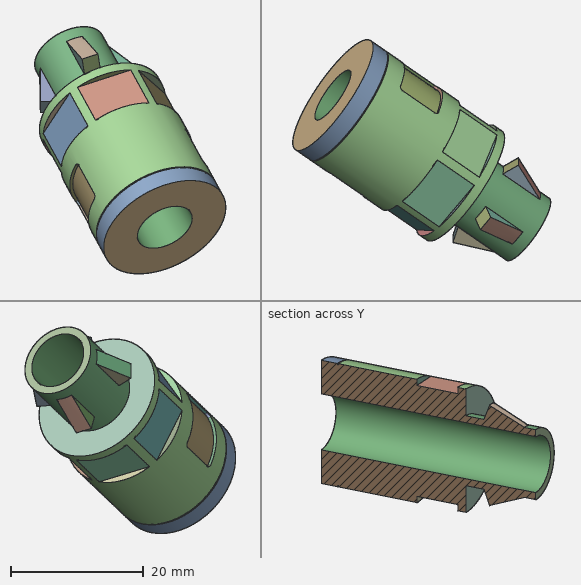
import cadquery as cq
import math

total_length = 37.0
body_diameter = 20.0
body_radius = body_diameter / 2
nose_diameter = 11.4
nose_radius = nose_diameter / 2
nose_length = 12.02
bore_diameter = 9.0

groove_start = 34.08
groove_width = 0.1
groove_depth = 0.2

flat_count = 6
flat_start = 13.5
flat_length = 7.0
flat_distance = 0.9 * body_radius

recess_start = 23.83
recess_length = 7.2
recess_width = 9.6
recess_corner_radius = 0.55
recess_floor_diameter = 19.0

barb_count = 4
barb_width = 2.6
barb_start = 1.95
barb_peak = 8.03
barb_end = 9.0
barb_peak_radius = 8.15
barb_root_radius = 5.0


def cylinder(start, length, diameter):
    """Solid cylinder on the X axis."""
    return cq.Workplane("YZ", origin=(start, 0, 0)).circle(diameter / 2).extrude(length)


def barb_section(x, crest=None):
    """Closed barb outline across X, with a flat crest or, by default, the nose arc on top."""
    half_width = barb_width / 2
    edge_radius = math.sqrt(nose_radius**2 - half_width**2)
    section = cq.Workplane("YZ", origin=(x, 0, 0)).moveTo(-half_width, barb_root_radius)
    section = section.lineTo(half_width, barb_root_radius)
    if crest is None:
        section = section.lineTo(half_width, edge_radius)
        section = section.threePointArc((0, nose_radius), (-half_width, edge_radius))
    else:
        section = section.lineTo(half_width, crest).lineTo(-half_width, crest)
    return section.close().val()


def barb():
    """Barb on the +Z side: a long ramp up to a straight crest, then a steep back."""
    sections = [barb_section(barb_start), barb_section(barb_peak, barb_peak_radius), barb_section(barb_end)]
    return cq.Workplane(cq.Solid.makeLoft(sections, True))


def wrench_flat_cutter():
    """Block that removes the +Z wrench flat."""
    return (
        cq.Workplane("XY", origin=(flat_start, 0, flat_distance))
        .rect(flat_length, body_diameter)
        .extrude(body_radius)
        .translate((flat_length / 2, 0, 0))
    )


def recess_cutters():
    """Rounded block through Y, less the cylinder that forms both recess floors."""
    block = (
        cq.Workplane("XY")
        .box(recess_length, 2 * body_diameter, recess_width)
        .edges("|Y")
        .fillet(recess_corner_radius)
        .translate((recess_start + recess_length / 2, 0, 0))
    )
    return block.cut(cylinder(0, total_length, recess_floor_diameter))


def groove_cutter():
    """Ring that removes the groove."""
    ring = cylinder(groove_start, groove_width, 2 * body_diameter)
    return ring.cut(cylinder(groove_start, groove_width, body_diameter - 2 * groove_depth))


def around_axis(shape, index, count):
    """Turn a shape to one of the equal places around the X axis."""
    return shape.rotate((0, 0, 0), (1, 0, 0), index * 360 / count)


result = cylinder(0, nose_length, nose_diameter)
result = result.union(cylinder(nose_length, total_length - nose_length, body_diameter))

for index in range(barb_count):
    result = result.union(around_axis(barb(), index, barb_count))

for index in range(flat_count):
    result = result.cut(around_axis(wrench_flat_cutter(), index, flat_count))

result = result.cut(recess_cutters())
result = result.cut(groove_cutter())
result = result.cut(cylinder(0, total_length, bore_diameter))